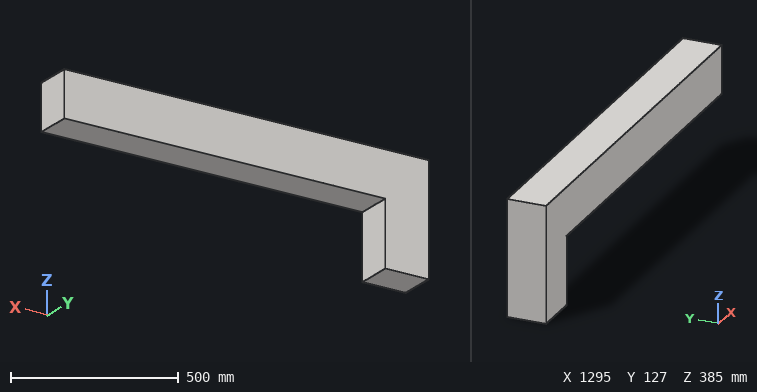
import cadquery as cq

length = 1295.0
depth = 127.0
height = 385.0

leg_width = 154.0
arm_height = 159.0

arm = cq.Workplane("XY").box(length, depth, arm_height, centered=False)
arm = arm.translate((0, 0, height - arm_height))

leg = cq.Workplane("XY").box(leg_width, depth, height, centered=False)

result = arm.union(leg)